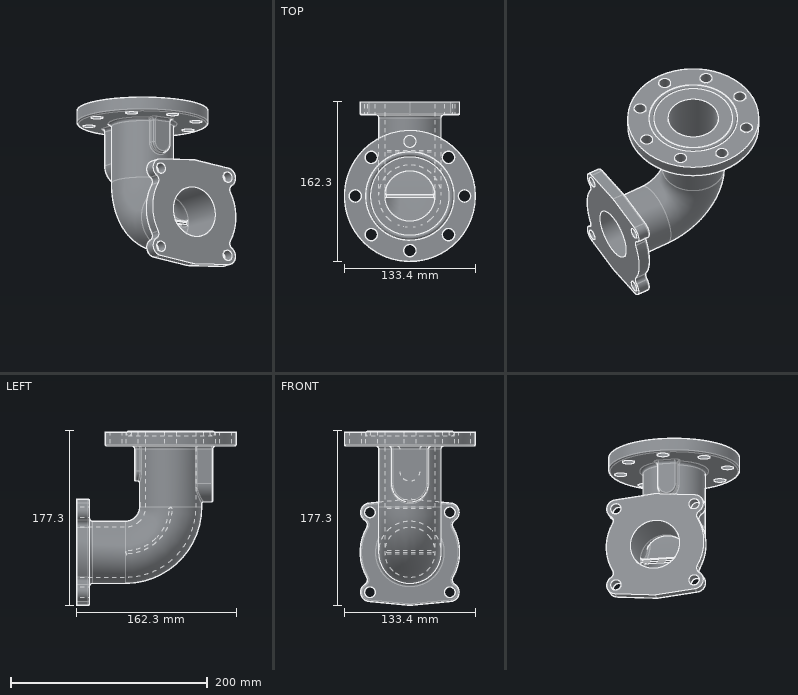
import cadquery as cq
import math


pipe_radius = 31.7
bore_radius = 25.5
bend_radius = 46.1

round_flange_radius = 66.7
round_flange_top = 122.0
round_flange_thickness = 14.0
round_flange_bottom = round_flange_top - round_flange_thickness
round_hole_count = 8
round_hole_circle_radius = 55.5
round_hole_diameter = 12.2

groove_inner_radius = 39.9
groove_outer_radius = 45.0
ring_section_radius = 2.5
ring_radius = groove_inner_radius + ring_section_radius
ring_height_above_flange = 1.2
groove_depth = 2 * ring_section_radius - ring_height_above_flange

eared_flange_back = 95.6
eared_flange_thickness = 13.1
eared_flange_front = eared_flange_back - eared_flange_thickness
eared_flange_apex = 54.1
side_arc_radius = 50.7
ear_offset = 40.6
ear_radius = 9.5
ear_hole_diameter = 10.6
neck_radius = 5.5

front_lug_face = 43.0
front_lug_radius = 18.6
front_lug_center_height = 69.7
rear_lug_face = 36.7
rear_lug_radius = 10.1
rear_lug_center_height = 82.5

vane_thickness = 3.2
vane_fillet = 1.6
vane_wall_overlap = 1.8

edge_fillet = 1.6
lug_root_fillet = 1.6
pipe_root_fillet = 3.2

margin = 0.09


def pipe_run(radius):
    """Solid rod along the pipe centreline, from the eared flange's back to the round flange's top."""
    centreline = (
        cq.Workplane("YZ")
        .moveTo(0, round_flange_top)
        .lineTo(0, bend_radius)
        .radiusArc((bend_radius, 0), -bend_radius)
        .lineTo(eared_flange_back, 0)
    )
    section_plane = cq.Plane(origin=(0, 0, round_flange_top), xDir=(0, -1, 0), normal=(0, 0, 1))
    return cq.Workplane(section_plane).circle(radius).sweep(centreline)


def make_round_flange():
    disc = (
        cq.Workplane("XY", origin=(0, 0, round_flange_bottom))
        .circle(round_flange_radius)
        .extrude(round_flange_thickness)
    )
    return disc.faces("<Z").edges().fillet(edge_fillet)


def upper_right_outline():
    """Points of the eared outline's upper right quarter, from the side arc up to the ear's top."""
    center_distance = side_arc_radius + neck_radius
    ear_distance = math.hypot(ear_offset, ear_offset)
    ear_reach = ear_radius + neck_radius
    cosine = (center_distance**2 + ear_distance**2 - ear_reach**2) / (2 * center_distance * ear_distance)
    neck_angle = math.radians(45) - math.acos(cosine)
    neck_x = center_distance * math.cos(neck_angle)
    neck_z = center_distance * math.sin(neck_angle)

    side_end = (side_arc_radius * math.cos(neck_angle), side_arc_radius * math.sin(neck_angle))
    ear_start = (
        neck_x + (ear_offset - neck_x) * neck_radius / ear_reach,
        neck_z + (ear_offset - neck_z) * neck_radius / ear_reach,
    )

    apex_rise = eared_flange_apex - ear_offset
    apex_distance = math.hypot(ear_offset, apex_rise)
    tangent_angle = math.atan2(apex_rise, -ear_offset) - math.acos(ear_radius / apex_distance)
    ear_end = (
        ear_offset + ear_radius * math.cos(tangent_angle),
        ear_offset + ear_radius * math.sin(tangent_angle),
    )
    return side_end, ear_start, ear_end


def make_eared_flange():
    side_end, ear_start, ear_end = upper_right_outline()
    quarter = (
        cq.Workplane("XZ", origin=(0, eared_flange_back, 0))
        .moveTo(0, 0)
        .lineTo(side_arc_radius, 0)
        .radiusArc(side_end, -side_arc_radius)
        .radiusArc(ear_start, neck_radius)
        .radiusArc(ear_end, -ear_radius)
        .lineTo(0, eared_flange_apex)
        .close()
        .extrude(eared_flange_thickness)
    )
    right_half = quarter.union(quarter.mirror("XY"))
    plate = right_half.union(right_half.mirror("YZ")).clean()
    return plate.faces("<Y").edges().fillet(edge_fillet)


def make_lug(face_distance, radius, center_height, side):
    """Round-ended lug from the pipe's axis out to its flat face; side is -1 for -Y, +1 for +Y."""
    slab = (
        cq.Workplane("XZ")
        .moveTo(-radius, round_flange_bottom)
        .lineTo(-radius, center_height)
        .radiusArc((radius, center_height), -radius)
        .lineTo(radius, round_flange_bottom)
        .close()
        .extrude(-side * face_distance)
    )
    face_name = ">Y" if side > 0 else "<Y"
    return slab.faces(face_name).edges("not >Z").fillet(edge_fillet)


def make_vane():
    """Curved plate across the bore, following the bend, with sharp ends and its sides set into the wall."""
    bent_plate = (
        cq.Workplane("XY", origin=(0, 0, bend_radius))
        .rect(2 * (bore_radius + vane_wall_overlap), vane_thickness)
        .revolve(90, (0, bend_radius, 0), (1, bend_radius, 0))
    )
    sharpener = (
        cq.Workplane("YZ")
        .polyline([(0, bend_radius), (bend_radius, 0), (0, -bend_radius), (-bend_radius, 0)])
        .close()
        .extrude(pipe_radius, both=True)
    )
    return bent_plate.intersect(sharpener)


def round_vane_roots(body):
    """Fillet the edges where the vane's two sides meet the wall of the bore."""
    left_zone = cq.selectors.BoxSelector(
        (-bore_radius - margin, -vane_thickness, -vane_thickness),
        (-bore_radius + margin, bend_radius + margin, bend_radius + margin),
    )
    right_zone = cq.selectors.BoxSelector(
        (bore_radius - margin, -vane_thickness, -vane_thickness),
        (bore_radius + margin, bend_radius + margin, bend_radius + margin),
    )
    return body.edges(left_zone + right_zone).fillet(vane_fillet)


def round_lug_root(body, lug_radius, lug_center_height, side):
    """Fillet the edge where a lug leaves the pipe."""
    meeting_y = math.sqrt(pipe_radius**2 - lug_radius**2)
    root_zone = cq.selectors.BoxSelector(
        (-lug_radius - margin, side * (meeting_y - margin), lug_center_height - lug_radius),
        (lug_radius + margin, side * (pipe_radius + margin), round_flange_bottom - margin),
    )
    return body.edges(root_zone).fillet(lug_root_fillet)


def round_pipe_roots(body):
    """Fillet the edges where the pipe and its lugs meet the inner faces of the two flanges."""
    round_flange_zone = cq.selectors.BoxSelector(
        (-pipe_radius, -front_lug_face - margin, round_flange_bottom - margin),
        (pipe_radius, rear_lug_face + margin, round_flange_bottom + margin),
    )
    body = body.edges(round_flange_zone).edges("#Z").fillet(pipe_root_fillet)
    eared_flange_zone = cq.selectors.BoxSelector(
        (-margin, eared_flange_front - margin, -margin),
        (margin, eared_flange_front + margin, margin),
    )
    return body.edges(eared_flange_zone).fillet(pipe_root_fillet)


def make_bolt_holes():
    round_flange_holes = (
        cq.Workplane("XY", origin=(0, 0, round_flange_bottom))
        .polarArray(round_hole_circle_radius, 0, 360, round_hole_count)
        .circle(round_hole_diameter / 2)
        .extrude(round_flange_thickness)
    )
    eared_flange_holes = (
        cq.Workplane("XZ", origin=(0, eared_flange_back, 0))
        .rect(2 * ear_offset, 2 * ear_offset, forConstruction=True)
        .vertices()
        .circle(ear_hole_diameter / 2)
        .extrude(eared_flange_thickness)
    )
    return round_flange_holes.union(eared_flange_holes)


def make_ring_groove():
    return (
        cq.Workplane("XY", origin=(0, 0, round_flange_top - groove_depth))
        .circle(groove_outer_radius)
        .circle(groove_inner_radius)
        .extrude(groove_depth)
    )


def make_housing():
    """Flanged elbow with its lugs, bore, guide vane, bolt holes and ring groove."""
    body = (
        pipe_run(pipe_radius)
        .union(make_lug(front_lug_face, front_lug_radius, front_lug_center_height, -1))
        .union(make_lug(rear_lug_face, rear_lug_radius, rear_lug_center_height, 1))
        .union(make_round_flange())
        .union(make_eared_flange())
    )
    body = round_lug_root(body, front_lug_radius, front_lug_center_height, -1)
    body = round_lug_root(body, rear_lug_radius, rear_lug_center_height, 1)
    body = round_pipe_roots(body)
    body = body.cut(pipe_run(bore_radius)).union(make_vane())
    body = round_vane_roots(body)
    return body.cut(make_bolt_holes()).cut(make_ring_groove())


def make_sealing_ring():
    ring_center_height = round_flange_top + ring_height_above_flange - ring_section_radius
    return (
        cq.Workplane("XZ")
        .center(ring_radius, ring_center_height)
        .circle(ring_section_radius)
        .revolve(360, (-ring_radius, 0, 0), (-ring_radius, 1, 0))
    )


housing = make_housing()
sealing_ring = make_sealing_ring()

result = cq.Compound.makeCompound([housing.solids().val(), sealing_ring.val()])